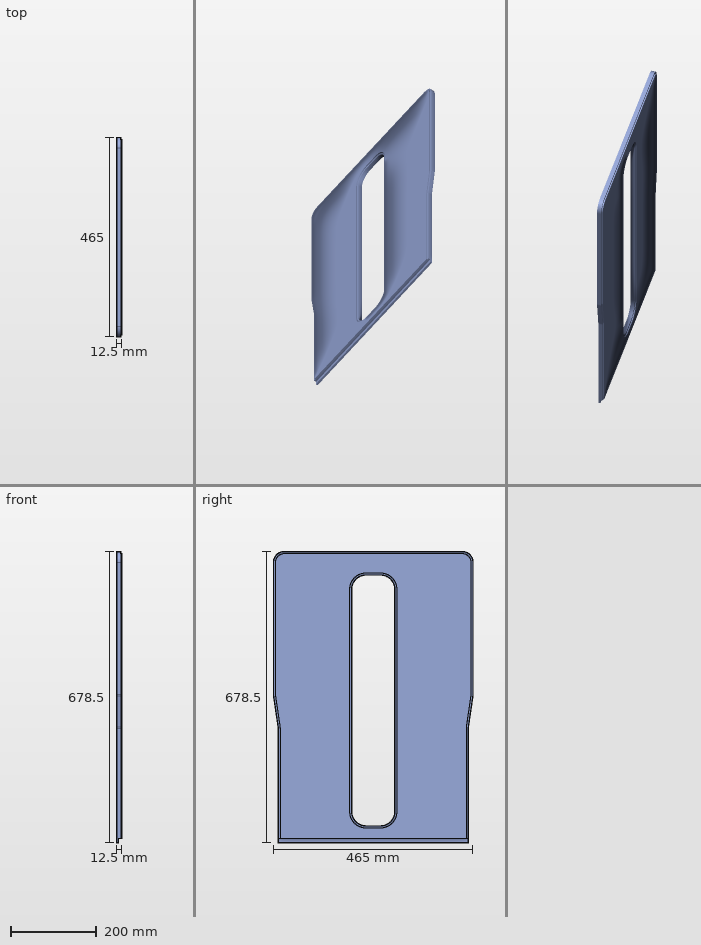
import cadquery as cq

THICKNESS = 12.5
UPPER_WIDTH = 465.0
HEIGHT = 678.5

LOWER_WIDTH = 443.0
TAPER_BOTTOM = 268.5
TAPER_TOP = 343.5
OUTLINE_RADIUS = 25.0

PANEL_THICKNESS = 2.5
PANEL_INSET = 5.0

LIP_THICKNESS = 5.0
LIP_HEIGHT = 10.0

SLOT_WIDTH = 100.0
SLOT_BOTTOM = 40.0
SLOT_TOP = 623.5
SLOT_RADIUS = 33.0

BASE_THICKNESS = THICKNESS - PANEL_THICKNESS


def solid_base():
    """Base layer without its slot; the top corners and the taper bends are rounded."""
    upper = UPPER_WIDTH / 2
    lower = LOWER_WIDTH / 2
    points = [
        (-lower, 0),
        (lower, 0),
        (lower, TAPER_BOTTOM),
        (upper, TAPER_TOP),
        (upper, HEIGHT),
        (-upper, HEIGHT),
        (-upper, TAPER_TOP),
        (-lower, TAPER_BOTTOM),
    ]
    slab = cq.Workplane("YZ").polyline(points).close().extrude(BASE_THICKNESS)
    return slab.edges("|X and (not <Z)").fillet(OUTLINE_RADIUS)


def slot(margin):
    """Round-cornered cutter for the upright slot, widened by margin on every side."""
    width = SLOT_WIDTH + 2 * margin
    height = SLOT_TOP - SLOT_BOTTOM + 2 * margin
    cutter = cq.Workplane("XY").box(THICKNESS, width, height, centered=(False, True, False))
    return cutter.translate((0, 0, SLOT_BOTTOM - margin)).edges("|X").fillet(SLOT_RADIUS + margin)


def base():
    """Full-size layer of the plate."""
    return solid_base().cut(slot(margin=0))


def panel():
    """Thinner layer on the +X face of the base, inset all round."""
    outline = solid_base().faces(">X").wires()
    raised = outline.toPending().offset2D(-PANEL_INSET).extrude(PANEL_THICKNESS, combine=False)
    return raised.cut(slot(margin=PANEL_INSET))


def rebate():
    """Block removed along the bottom edge, leaving the lip."""
    size = (THICKNESS - LIP_THICKNESS, UPPER_WIDTH, LIP_HEIGHT)
    return cq.Workplane("XY").box(*size, centered=(False, True, False)).translate((LIP_THICKNESS, 0, 0))


result = base().union(panel()).cut(rebate())